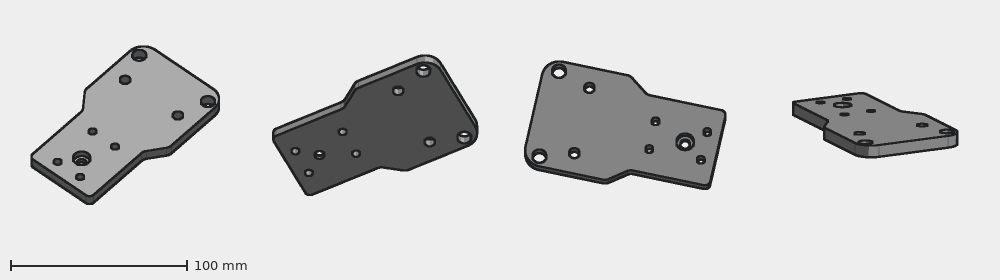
import cadquery as cq

thickness = 7.0
length = 107.0
wide_width = 64.0
narrow_width = 46.0
taper_start = 46.0
taper_end = 58.0
wide_corner_radius = 10.0
narrow_corner_radius = 3.0
taper_corner_radius = 5.0

large_hole_diameter = 8.0
large_hole_spacing = 52.0
large_hole_y = length - 9.0
medium_hole_diameter = 6.0
medium_hole_spacing = 40.0
medium_hole_y = length - 28.0
small_hole_diameter = 4.5
small_hole_spacing = 17.0
small_hole_rows = (8.0, 38.0)

bolt_hole_diameter = 5.5
bolt_head_diameter = 10.0
bolt_head_depth = 4.0
bolt_y = 19.0


def make_plate():
    """Plate that tapers from the wide end to the narrow end, all corners rounded."""
    half_wide = wide_width / 2
    half_narrow = narrow_width / 2
    right_side = [
        (half_narrow, 0),
        (half_narrow, taper_start),
        (half_wide, taper_end),
        (half_wide, length),
    ]
    left_side = [(-x, y) for x, y in reversed(right_side)]
    plate = cq.Workplane("XY").polyline(right_side + left_side).close().extrude(thickness)

    corner_radii = (narrow_corner_radius, taper_corner_radius, taper_corner_radius, wide_corner_radius)
    for (x, y), radius in zip(right_side, corner_radii):
        for side in (-1, 1):
            corner_edge = cq.selectors.NearestToPointSelector((side * x, y, thickness / 2))
            plate = plate.edges("|Z").edges(corner_edge).fillet(radius)
    return plate


def drill_pair(plate, diameter, spacing, y):
    """Two through holes mirrored about the centre line."""
    centers = [(-spacing / 2, y), (spacing / 2, y)]
    holes = cq.Workplane("XY").pushPoints(centers).circle(diameter / 2).extrude(thickness)
    return plate.cut(holes)


def drill_bolt_hole(plate):
    """Through hole with a counterbore sunk from the top face."""
    top_plane = cq.Workplane("XY", origin=(0, bolt_y, thickness))
    shank = top_plane.circle(bolt_hole_diameter / 2).extrude(-thickness)
    head = top_plane.circle(bolt_head_diameter / 2).extrude(-bolt_head_depth)
    return plate.cut(shank).cut(head)


result = make_plate()
result = drill_pair(result, large_hole_diameter, large_hole_spacing, large_hole_y)
result = drill_pair(result, medium_hole_diameter, medium_hole_spacing, medium_hole_y)
for row_y in small_hole_rows:
    result = drill_pair(result, small_hole_diameter, small_hole_spacing, row_y)
result = drill_bolt_hole(result)